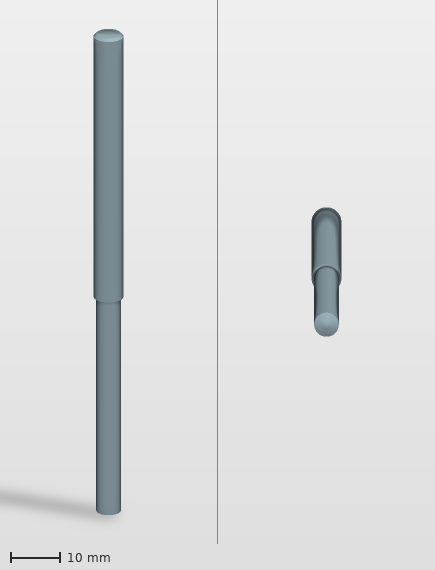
import cadquery as cq
import math

TOTAL_LENGTH = 105.9
SHANK_DIAMETER = 6.0
SHANK_LENGTH = 57.9
SHANK_CHAMFER = 0.5
CUTTER_DIAMETER = 5.0
CUTTING_LENGTH = 25.4
POINT_ANGLE = 140.0

shank_radius = SHANK_DIAMETER / 2
cutter_radius = CUTTER_DIAMETER / 2
shank_bottom = TOTAL_LENGTH - SHANK_LENGTH
point_height = cutter_radius / math.tan(math.radians(POINT_ANGLE / 2))


def make_shank():
    """Shank and neck, turned as one piece and chamfered at the top end."""
    neck_length = shank_bottom - CUTTING_LENGTH
    neck = cq.Workplane("XY").workplane(offset=CUTTING_LENGTH).circle(cutter_radius).extrude(neck_length)
    shank = cq.Workplane("XY").workplane(offset=shank_bottom).circle(shank_radius).extrude(SHANK_LENGTH)
    shank = shank.faces(">Z").chamfer(SHANK_CHAMFER)
    return shank.union(neck)


def make_cutter():
    """Cylindrical cutting section with a conical drill point."""
    half_profile = (
        cq.Workplane("XZ")
        .lineTo(cutter_radius, point_height)
        .lineTo(cutter_radius, CUTTING_LENGTH)
        .lineTo(0, CUTTING_LENGTH)
        .close()
    )
    return half_profile.revolve(360, (0, 0, 0), (0, 1, 0))


shank = make_shank()
cutter = make_cutter()
result = cq.Compound.makeCompound([shank.val(), cutter.val()])